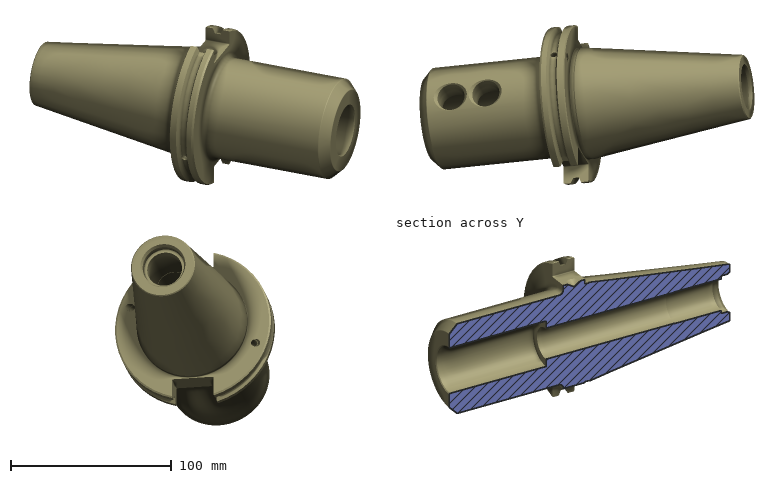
import cadquery as cq
import math


TAPER_RATIO = 7 / 24
GAUGE_DIA = 69.85
TAPER_LENGTH = 101.6
SMALL_END_CHAMFER = 0.6
UNDERCUT_DIA = 69.25
UNDERCUT_START = 0.7
UNDERCUT_FILLET = 0.4

FLANGE_DIA = 98.43
FLANGE_START = 3.175
FLANGE_END = 19.05
FLANGE_BACK_CHAMFER_LENGTH = 0.5
FLANGE_BACK_CHAMFER_DEPTH = 1.0
FLANGE_FRONT_CHAMFER_LENGTH = 1.2
FLANGE_FRONT_CHAMFER_DEPTH = 0.6
GROOVE_CENTRE = 11.2
GROOVE_FLOOR_DIA = 91.4
GROOVE_FLOOR_WIDTH = 3.6
GROOVE_SIDE_RUN = 1.6

SLOT_WIDTH = 26.19
TOP_SLOT_FLOOR = 37.7
BOTTOM_SLOT_FLOOR = 35.2
SLOT_CORNER_FILLET = 0.7
SLOT_RIM_CHAMFER = 0.36
SPOT_DIA = 9.53
DRILL_POINT_ANGLE = 118.0

NOSE_DIA = 63.5
NOSE_END = 101.6
NOSE_FILLET = 3.0
NOSE_CHAMFER = 5.85
NOSE_EDGE_FILLET = 0.7

THROUGH_DIA = 21.5
THREAD_DIA = 21.97
THREAD_DEPTH = 40.0
PILOT_DIA = 26.2
PILOT_DEPTH = 6.3
PILOT_CHAMFER_DIA = 28.5
PILOT_CHAMFER_LENGTH = 2.0
CUTTER_BORE_DIA = 31.75
CUTTER_BORE_DEPTH = 70.0
CUTTER_BORE_CHAMFER_DIA = 32.95

SCREW_DIA = 17.32
SCREW_MOUTH_DIA = 21.2
SCREW_FROM_NOSE = 21.2
SCREW_PITCH = 22.3

COOLANT_ANGLE = 20.0
COOLANT_RADIUS = 42.1
COOLANT_TILT = 35.0
COOLANT_DIA = 4.2
COOLANT_LENGTH = 14.0
COOLANT_MOUTH_DIA = 5.0
COOLANT_MOUTH_DEPTH = 2.0
CROSS_HOLE_DIA = 4.13

FLANGE_RADIUS = FLANGE_DIA / 2
SMALL_END = -TAPER_LENGTH
AXIS_X = cq.Vector(1, 0, 0)


def taper_radius(x):
    return (GAUGE_DIA + TAPER_RATIO * x) / 2


def cylinder(start, direction, diameter, length):
    return cq.Workplane(cq.Solid.makeCylinder(diameter / 2, length, start, direction))


def cone(start, direction, start_dia, end_dia, length):
    return cq.Workplane(cq.Solid.makeCone(start_dia / 2, end_dia / 2, length, start, direction))


def outer_body():
    """Taper, undercut, grooved flange and nose turned in one outline."""
    undercut_radius = UNDERCUT_DIA / 2
    floor_radius = GROOVE_FLOOR_DIA / 2
    nose_radius = NOSE_DIA / 2
    floor_start = GROOVE_CENTRE - GROOVE_FLOOR_WIDTH / 2
    floor_end = GROOVE_CENTRE + GROOVE_FLOOR_WIDTH / 2
    bevel_end = SMALL_END + SMALL_END_CHAMFER
    arc_offset = 1 - math.sqrt(0.5)
    outline = (
        cq.Workplane("XY")
        .moveTo(SMALL_END, 0)
        .lineTo(SMALL_END, taper_radius(bevel_end) - SMALL_END_CHAMFER)
        .lineTo(bevel_end, taper_radius(bevel_end))
        .lineTo(0, taper_radius(0))
        .lineTo(UNDERCUT_START, undercut_radius)
        .lineTo(FLANGE_START - UNDERCUT_FILLET, undercut_radius)
        .threePointArc(
            (FLANGE_START - UNDERCUT_FILLET * arc_offset, undercut_radius + UNDERCUT_FILLET * arc_offset),
            (FLANGE_START, undercut_radius + UNDERCUT_FILLET),
        )
        .lineTo(FLANGE_START, FLANGE_RADIUS - FLANGE_BACK_CHAMFER_DEPTH)
        .lineTo(FLANGE_START + FLANGE_BACK_CHAMFER_LENGTH, FLANGE_RADIUS)
        .lineTo(floor_start - GROOVE_SIDE_RUN, FLANGE_RADIUS)
        .lineTo(floor_start, floor_radius)
        .lineTo(floor_end, floor_radius)
        .lineTo(floor_end + GROOVE_SIDE_RUN, FLANGE_RADIUS)
        .lineTo(FLANGE_END - FLANGE_FRONT_CHAMFER_LENGTH, FLANGE_RADIUS)
        .lineTo(FLANGE_END, FLANGE_RADIUS - FLANGE_FRONT_CHAMFER_DEPTH)
        .lineTo(FLANGE_END, nose_radius + NOSE_FILLET)
        .threePointArc(
            (FLANGE_END + NOSE_FILLET * arc_offset, nose_radius + NOSE_FILLET * arc_offset),
            (FLANGE_END + NOSE_FILLET, nose_radius),
        )
        .lineTo(NOSE_END - NOSE_CHAMFER, nose_radius)
        .lineTo(NOSE_END, nose_radius - NOSE_CHAMFER)
        .lineTo(NOSE_END, 0)
        .close()
    )
    turned = outline.revolve(360, (0, 0, 0), (1, 0, 0))
    for edge_x in (NOSE_END, NOSE_END - NOSE_CHAMFER):
        edge = cq.selectors.NearestToPointSelector((edge_x, 0, 0))
        turned = turned.edges(edge).fillet(NOSE_EDGE_FILLET)
    return turned


def axial_bores():
    """Stepped passage: chamfered pilot, thread, through bore and cutter bore."""
    back = cq.Vector(SMALL_END, 0, 0)
    front = cq.Vector(NOSE_END, 0, 0)
    bore_chamfer = (CUTTER_BORE_CHAMFER_DIA - CUTTER_BORE_DIA) / 2
    bores = cylinder(back, AXIS_X, THROUGH_DIA, TAPER_LENGTH + NOSE_END)
    bores = bores.union(cylinder(back, AXIS_X, THREAD_DIA, THREAD_DEPTH))
    bores = bores.union(cylinder(back, AXIS_X, PILOT_DIA, PILOT_DEPTH))
    bores = bores.union(cone(back, AXIS_X, PILOT_CHAMFER_DIA, PILOT_DIA, PILOT_CHAMFER_LENGTH))
    bores = bores.union(cylinder(front, -AXIS_X, CUTTER_BORE_DIA, CUTTER_BORE_DEPTH))
    return bores.union(cone(front, -AXIS_X, CUTTER_BORE_CHAMFER_DIA, CUTTER_BORE_DIA, bore_chamfer))


def drive_slot(floor, side):
    """Slot through the flange thickness, on the +Z (side = 1) or -Z (side = -1) side."""
    depth = FLANGE_RADIUS - floor
    slot = cq.Workplane("XY").box(FLANGE_END - FLANGE_START, SLOT_WIDTH, depth)
    floor_edges = "|X and <Z" if side > 0 else "|X and >Z"
    slot = slot.edges(floor_edges).fillet(SLOT_CORNER_FILLET)
    return slot.translate(((FLANGE_START + FLANGE_END) / 2, 0, side * (floor + depth / 2)))


def break_slot_rims(flanged):
    """Chamfer the edges where the slot walls meet the flange rim."""
    tolerance = 0.01
    wall = SLOT_WIDTH / 2
    rim_height = math.sqrt(FLANGE_RADIUS**2 - wall**2)
    for y in (-wall, wall):
        for z in (-rim_height, rim_height):
            rim = cq.selectors.BoxSelector(
                (FLANGE_START, y - tolerance, z - tolerance),
                (FLANGE_END, y + tolerance, z + tolerance),
            )
            flanged = flanged.edges("|X").edges(rim).chamfer(SLOT_RIM_CHAMFER)
    return flanged


def slot_spot():
    """Conical drill spot in the top slot floor."""
    depth = SPOT_DIA / 2 / math.tan(math.radians(DRILL_POINT_ANGLE / 2))
    return cone(cq.Vector(GROOVE_CENTRE, 0, TOP_SLOT_FLOOR), cq.Vector(0, 0, -1), SPOT_DIA, 0, depth)


def screw_hole(x):
    """Clamping screw hole from the +Y side into the cutter bore, countersunk outside."""
    inward = cq.Vector(0, -1, 0)
    mouth = cq.Vector(x, NOSE_DIA / 2, 0)
    countersink_depth = (SCREW_MOUTH_DIA - SCREW_DIA) / 2
    hole = cylinder(mouth, inward, SCREW_DIA, NOSE_DIA / 2)
    return hole.union(cone(mouth, inward, SCREW_MOUTH_DIA, SCREW_DIA, countersink_depth))


def coolant_hole(angle):
    """Stepped hole leaning inwards from the flange face, met by a radial hole from the groove."""
    tilt = math.radians(COOLANT_TILT)
    turn = math.radians(angle)
    outward = cq.Vector(0, math.cos(turn), math.sin(turn))
    along = AXIS_X * math.cos(tilt) - outward * math.sin(tilt)
    mouth = AXIS_X * FLANGE_START + outward * COOLANT_RADIUS
    overrun = along * COOLANT_MOUTH_DIA
    crossing_drop = (GROOVE_CENTRE - FLANGE_START) * math.tan(tilt)
    cross_length = FLANGE_RADIUS - COOLANT_RADIUS + crossing_drop
    rim = AXIS_X * GROOVE_CENTRE + outward * FLANGE_RADIUS
    hole = cylinder(mouth, along, COOLANT_DIA, COOLANT_LENGTH)
    hole = hole.union(
        cylinder(mouth - overrun, along, COOLANT_MOUTH_DIA, COOLANT_MOUTH_DIA + COOLANT_MOUTH_DEPTH)
    )
    return hole.union(cylinder(rim, -outward, CROSS_HOLE_DIA, cross_length))


body = outer_body().cut(axial_bores())
body = body.cut(drive_slot(TOP_SLOT_FLOOR, 1)).cut(drive_slot(BOTTOM_SLOT_FLOOR, -1))
body = break_slot_rims(body)
body = body.cut(slot_spot())
for index in range(2):
    body = body.cut(screw_hole(NOSE_END - SCREW_FROM_NOSE - index * SCREW_PITCH))
for half_turn in (0, 180):
    body = body.cut(coolant_hole(COOLANT_ANGLE + half_turn))

result = body